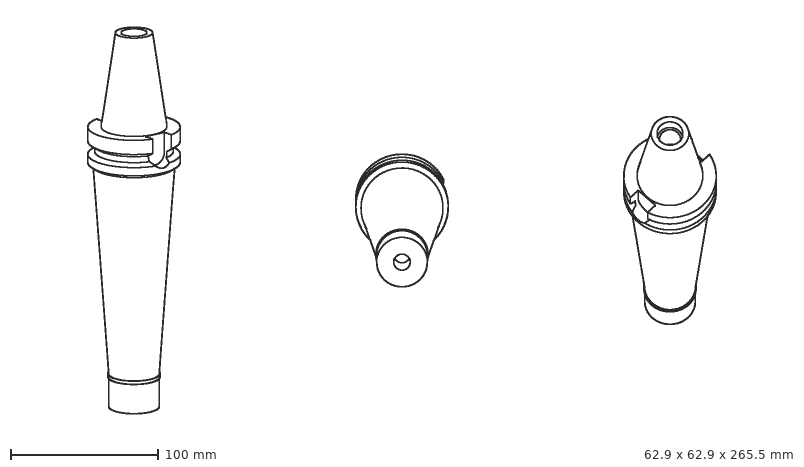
import cadquery as cq

total_height = 265.5
nut_height = 23.4
gauge_height = 200.0
flange_top = 198.5

nut_radius = 17.3
nut_collar_radius = 17.8
nut_collar_height = 2.5

taper_small_radius = 12.7
taper_large_radius = 22.3
body_top_radius = 27.9
body_bottom_radius = 17.3

flange_radius = 31.45
groove_radius = 26.8
upper_rim_bottom = 188.5
groove_top = 185.5
groove_bottom = 181.3
lower_rim_top = 179.1
lower_rim_bottom = 173.3
flange_bottom = 171.0

slot_width = 16.2
slot_bottom = 176.8
slot_floor_distance = 22.8

counterbore_radius = 8.8
counterbore_depth = 9.0
thread_radius = 7.2
thread_depth = 31.8
through_radius = 5.5


def axial_cylinder(radius, bottom, top):
    """Cylinder on the axis, between two heights."""
    return cq.Workplane("XY").workplane(offset=bottom).circle(radius).extrude(top - bottom)


def drive_slot(side):
    """Cutting tool for one slot; side is +1 for +X and -1 for -X."""
    half_width = slot_width / 2
    arc_height = slot_bottom + half_width
    return (
        cq.Workplane("YZ", origin=(side * slot_floor_distance, 0, 0))
        .moveTo(-half_width, gauge_height)
        .lineTo(-half_width, arc_height)
        .threePointArc((0, slot_bottom), (half_width, arc_height))
        .lineTo(half_width, gauge_height)
        .close()
        .extrude(side * flange_radius)
    )


def make_holder():
    """Spindle taper, flange and conical body turned as one piece."""
    profile = [
        (0, nut_height),
        (body_bottom_radius, nut_height),
        (body_top_radius, flange_bottom),
        (flange_radius, lower_rim_bottom),
        (flange_radius, lower_rim_top),
        (groove_radius, groove_bottom),
        (groove_radius, groove_top),
        (flange_radius, upper_rim_bottom),
        (flange_radius, flange_top),
        (taper_large_radius, flange_top),
        (taper_large_radius, gauge_height),
        (taper_small_radius, total_height),
        (0, total_height),
    ]
    holder = cq.Workplane("XZ").polyline(profile).close().revolve(360, (0, 0), (0, 1))

    for side in (-1, 1):
        holder = holder.cut(drive_slot(side))

    holder = holder.cut(axial_cylinder(through_radius, nut_height, total_height))
    holder = holder.cut(axial_cylinder(thread_radius, total_height - thread_depth, total_height))
    return holder.cut(axial_cylinder(counterbore_radius, total_height - counterbore_depth, total_height))


def make_nut():
    """Clamping nut with a slim collar where it meets the holder."""
    nut = axial_cylinder(nut_radius, 0, nut_height)
    nut = nut.union(axial_cylinder(nut_collar_radius, nut_height - nut_collar_height, nut_height))
    return nut.cut(axial_cylinder(through_radius, 0, nut_height))


holder = make_holder()
nut = make_nut()
result = cq.Compound.makeCompound([holder.val(), nut.val()])